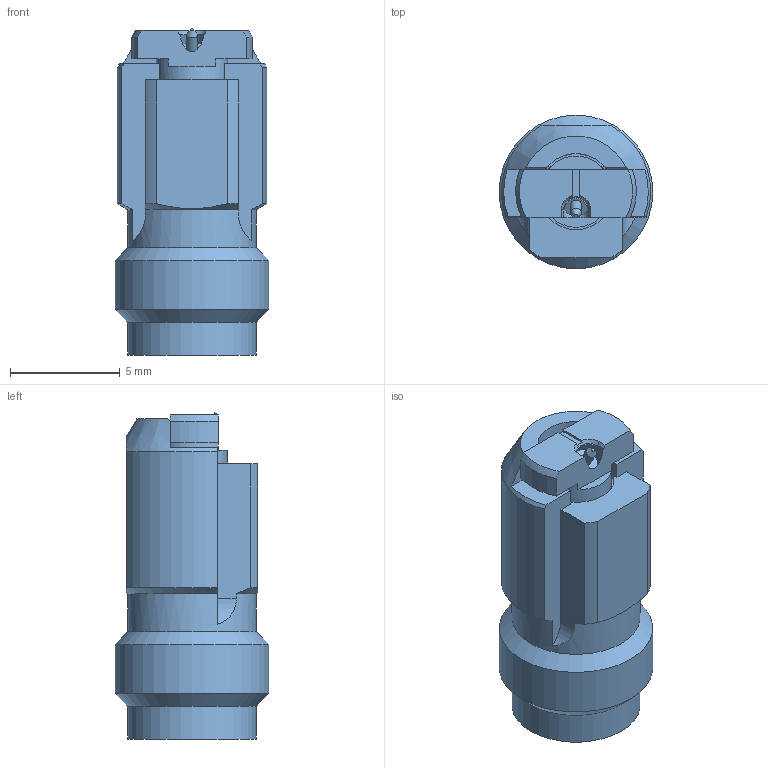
import cadquery as cq
import math

COLLAR_R = 3.5
BODY_R = 3.4
NECK_R = 2.925
CONE_ANGLE = math.radians(30)

COLLAR_FOOT_Z = 1.5
COLLAR_LOW_Z = 2.09
COLLAR_HIGH_Z = 4.3
NECK_Z = 4.9
BODY_LOW_Z = 6.9
BODY_HIGH_Z = 13.1
HOUSING_TOP_Z = 14.6

FLAT_Y = 3.0

WALL_Y = -1.15
TONGUE_HALF_WIDTH = 2.12
DECK_Z = 12.54
NOTCH_ARC_R = 1.5
NOTCH_ARC_Z = 6.4

SLOT_FLOOR_Z = 13.28
SLOT_REAR_Y = 1.0
SLOT_EDGE_CHAMFER = 0.1
BORE_R = 1.73
BORE_FLOOR_Z = 12.34
BORE_MOUTH_HALF_WIDTH = 1.49

PLUG_R = 1.62
PLUG_SHOULDER_Z = 13.15
BAR_FRONT_Y = -1.2
BAR_REAR_Y = SLOT_REAR_Y
BAR_R = 2.75
BAR_LOW_Z = 13.5
BAR_TOP_Z = 14.78
BAR_CHAMFER_HEIGHT = 0.3

PIN_LEAN = 30
PIN_TIP_Y = -1.11
PIN_R = 0.25
PIN_TIP_R = 0.09
PIN_LENGTH = 1.0
PIN_TIP_LENGTH = 0.28
PIN_TOP_Z = 14.86
POCKET_R = 0.58
RECESS_R = 0.67
RECESS_CENTRE_Y = -0.83
RECESS_DEPTH = 0.18
GROOVE_WIDTH = 0.32
GROOVE_DEPTH = 0.1

CLEAR = 10.0


def block(x0, x1, y0, y1, z0, z1):
    """Box between two opposite corners."""
    return cq.Workplane("XY").box(x1 - x0, y1 - y0, z1 - z0, centered=False).translate((x0, y0, z0))


def cylinder(radius, z0, z1):
    """Cylinder on the Z axis between two heights."""
    return cq.Workplane("XY").workplane(offset=z0).circle(radius).extrude(z1 - z0)


def turned(points):
    """Solid of revolution about Z from (radius, height) points."""
    return cq.Workplane("XZ").polyline(points).close().revolve(360, (0, 0, 0), (0, 1, 0))


def housing_blank():
    underside_rise = (BODY_R - NECK_R) * math.tan(CONE_ANGLE)
    top_r = BODY_R - (HOUSING_TOP_Z - BODY_HIGH_Z) * math.tan(CONE_ANGLE)
    blank = turned([
        (0, 0),
        (NECK_R, 0),
        (NECK_R, COLLAR_FOOT_Z),
        (COLLAR_R, COLLAR_LOW_Z),
        (COLLAR_R, COLLAR_HIGH_Z),
        (NECK_R, NECK_Z),
        (NECK_R, BODY_LOW_Z - underside_rise),
        (BODY_R, BODY_LOW_Z),
        (BODY_R, BODY_HIGH_Z),
        (top_r, HOUSING_TOP_Z),
        (0, HOUSING_TOP_Z),
    ])
    for y0, y1 in ((FLAT_Y, CLEAR), (-CLEAR, -FLAT_Y)):
        blank = blank.cut(block(-CLEAR, CLEAR, y0, y1, NECK_Z, HOUSING_TOP_Z))
    return blank


def side_notch(side):
    """Space beside the tongue; its lower end is rounded. side is +1 or -1."""
    inner_x = side * TONGUE_HALF_WIDTH
    outer_x = side * (TONGUE_HALF_WIDTH + NOTCH_ARC_R)
    mid_x = outer_x - side * NOTCH_ARC_R * math.cos(math.pi / 4)
    mid_z = NOTCH_ARC_Z - NOTCH_ARC_R * math.sin(math.pi / 4)
    return (
        cq.Workplane("XZ", origin=(0, WALL_Y, 0))
        .moveTo(inner_x, HOUSING_TOP_Z)
        .lineTo(inner_x, NOTCH_ARC_Z)
        .threePointArc((mid_x, mid_z), (outer_x, NOTCH_ARC_Z - NOTCH_ARC_R))
        .lineTo(outer_x, HOUSING_TOP_Z)
        .close()
        .extrude(CLEAR)
    )


def cross_slot():
    """Slot through the housing top, with a bevel on its rear upper edge."""
    return (
        cq.Workplane("YZ", origin=(-CLEAR, 0, 0))
        .moveTo(-CLEAR, SLOT_FLOOR_Z)
        .lineTo(SLOT_REAR_Y, SLOT_FLOOR_Z)
        .lineTo(SLOT_REAR_Y, HOUSING_TOP_Z - SLOT_EDGE_CHAMFER)
        .lineTo(SLOT_REAR_Y + SLOT_EDGE_CHAMFER, HOUSING_TOP_Z)
        .lineTo(-CLEAR, HOUSING_TOP_Z)
        .close()
        .extrude(2 * CLEAR)
    )


def housing():
    body = housing_blank()
    body = body.cut(block(-CLEAR, CLEAR, -CLEAR, WALL_Y, DECK_Z, HOUSING_TOP_Z))
    for side in (-1, 1):
        body = body.cut(side_notch(side))
    body = body.cut(cross_slot())
    body = body.cut(cylinder(BORE_R, BORE_FLOOR_Z, HOUSING_TOP_Z))
    mouth = block(-BORE_MOUTH_HALF_WIDTH, BORE_MOUTH_HALF_WIDTH, WALL_Y, 0, DECK_Z, SLOT_FLOOR_Z)
    return body.cut(mouth)


def cross_bar():
    top_r = BAR_R - BAR_CHAMFER_HEIGHT * math.tan(CONE_ANGLE)
    disc = turned([
        (0, BAR_LOW_Z),
        (BAR_R, BAR_LOW_Z),
        (BAR_R, BAR_TOP_Z - BAR_CHAMFER_HEIGHT),
        (top_r, BAR_TOP_Z),
        (0, BAR_TOP_Z),
    ])
    stem = cylinder(PLUG_R, PLUG_SHOULDER_Z, BAR_LOW_Z)
    bar_width = block(-CLEAR, CLEAR, BAR_FRONT_Y, BAR_REAR_Y, PLUG_SHOULDER_Z, BAR_TOP_Z)
    plug = cylinder(PLUG_R, BORE_FLOOR_Z, PLUG_SHOULDER_Z)
    return disc.union(stem).intersect(bar_width).union(plug)


def lean(solid):
    """Lean a solid forward about the origin and move it so the origin becomes the pin tip."""
    tip_z = PIN_TOP_Z - PIN_TIP_R * math.sin(math.radians(PIN_LEAN))
    return solid.rotate((0, 0, 0), (1, 0, 0), PIN_LEAN).translate((0, PIN_TIP_Y, tip_z))


def recess():
    """Tapered U-shaped recess in the bar top, open to the front."""
    return (
        cq.Workplane("XY", origin=(0, 0, BAR_TOP_Z))
        .moveTo(-RECESS_R, -CLEAR)
        .lineTo(-RECESS_R, RECESS_CENTRE_Y)
        .threePointArc((0, RECESS_CENTRE_Y + RECESS_R), (RECESS_R, RECESS_CENTRE_Y))
        .lineTo(RECESS_R, -CLEAR)
        .close()
        .extrude(-RECESS_DEPTH, taper=math.degrees(CONE_ANGLE))
    )


def pin():
    return turned([
        (0, -PIN_LENGTH),
        (PIN_R, -PIN_LENGTH),
        (PIN_R, -PIN_TIP_LENGTH),
        (PIN_TIP_R, 0),
        (0, 0),
    ])


def bar_with_pin():
    half_groove = GROOVE_WIDTH / 2
    groove_floor_z = BAR_TOP_Z - GROOVE_DEPTH
    groove = block(-half_groove, half_groove, RECESS_CENTRE_Y, BAR_REAR_Y, groove_floor_z, BAR_TOP_Z)
    bar = cross_bar().cut(recess()).cut(groove)
    bar = bar.cut(lean(cylinder(POCKET_R, -PIN_LENGTH, PIN_LENGTH)))
    return bar.union(lean(pin()))


result = housing().union(bar_with_pin())